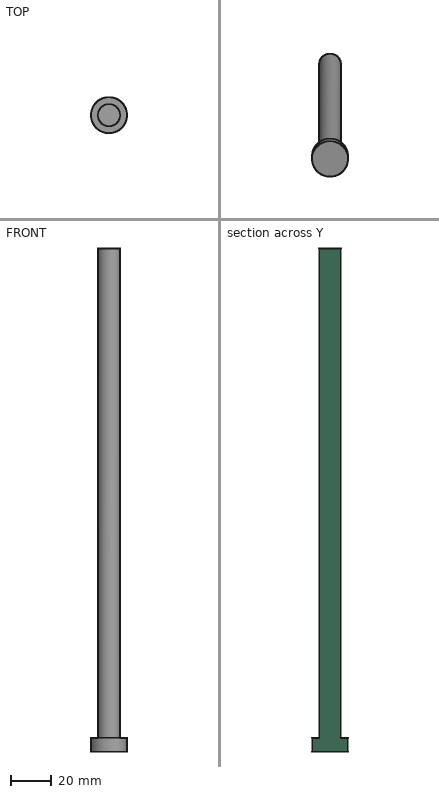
import cadquery as cq

total_length = 250.0
head_diameter = 18.0
head_height = 7.0
shank_diameter = 11.0

head = cq.Workplane("XY").circle(head_diameter / 2).extrude(head_height)

shank = cq.Workplane("XY").circle(shank_diameter / 2).extrude(total_length)

result = head.union(shank)